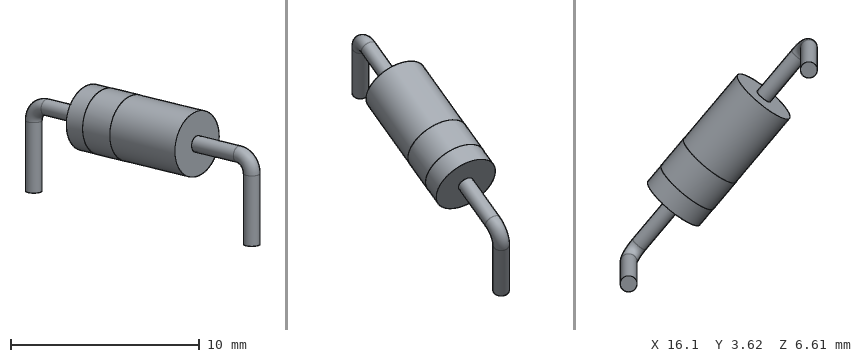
import cadquery as cq

body_diameter = 3.6
body_length = 7.6
band_diameter = 3.62
band_width = 1.9
band_offset = 1.15

lead_diameter = 0.9
lead_pitch = 15.24
bend_radius = 0.9
lead_drop = 4.8

body_start = -body_length / 2
lead_reach = lead_pitch / 2


def cylinder_along_x(start, length, diameter):
    """Solid cylinder on the X axis, running from start toward +X."""
    return cq.Workplane("YZ", origin=(start, 0, 0)).circle(diameter / 2).extrude(length)


def make_body():
    """Cylindrical diode body with its slightly raised cathode band."""
    body = cylinder_along_x(body_start, body_length, body_diameter)
    band = cylinder_along_x(body_start + band_offset, band_width, band_diameter)
    return body.union(band)


def make_leads():
    """One wire through the body, bent down at both ends."""
    bend_start = lead_reach - bend_radius
    path = (
        cq.Workplane("XZ")
        .moveTo(-lead_reach, -lead_drop)
        .lineTo(-lead_reach, -bend_radius)
        .tangentArcPoint((-bend_start, 0), relative=False)
        .lineTo(bend_start, 0)
        .tangentArcPoint((lead_reach, -bend_radius), relative=False)
        .lineTo(lead_reach, -lead_drop)
    )
    tip = cq.Workplane("XY", origin=(-lead_reach, 0, -lead_drop))
    return tip.circle(lead_diameter / 2).sweep(path)


result = make_body().union(make_leads())